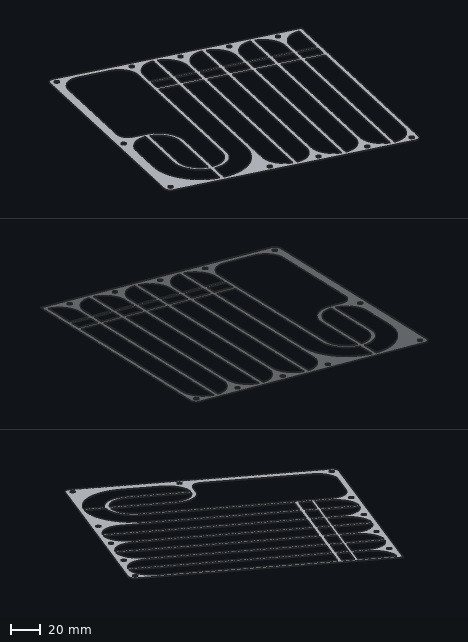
import cadquery as cq
import math

side = 188.0
thickness = 0.6
corner_radius = 4.7

side_border = 3.8
top_border = 3.5
rail_width = 3.4
seven_lane_height = 125.8
pitch = seven_lane_height / 7
inner_turn = pitch - rail_width / 2
rail_outer_turn = pitch + rail_width / 2
outer_turn = 2 * pitch - rail_width / 2

wide_lane = 6
ring_rail = 7
middle_rail = 8
loop_rail = 9
return_lane = 9

left_turn_x = side_border + inner_turn
right_turn_x = side - side_border - inner_turn
wide_turn_x = side - side_border - outer_turn
end_loop_x = 122.5

pocket_left = 4.7
pocket_bottom = 7.1
pocket_radius = 14.1
pocket_foot_radius = 7.9

ties = [(30.3, 2.5), (41.4, 3.0)]

hole_diameter = 3.5
hole_inset = 5.0
middle_hole_x = 109.6


def rail_y(number):
    """Height of the centreline of a rail."""
    return side - top_border + rail_width / 2 - number * pitch


def block(x_min, x_max, y_min, y_max):
    """Rectangle of plate thickness."""
    size_x = x_max - x_min
    size_y = y_max - y_min
    corner = cq.Workplane("XY", origin=(x_min, y_min, 0))
    return corner.box(size_x, size_y, thickness, centered=False)


def disc(x, y, radius):
    """Disc of plate thickness."""
    return cq.Workplane("XY").center(x, y).circle(radius).extrude(thickness)


def lane_band(number, x_min, x_max):
    """Straight strip between a rail and the next one below it."""
    y_min = rail_y(number + 1) + rail_width / 2
    y_max = rail_y(number) - rail_width / 2
    return block(x_min, x_max, y_min, y_max)


def left_rounded_lane(number, left, x_max):
    """Lane with a square right end and a quarter-round left end (turn centre x, rail it is centred on)."""
    x, rail = left
    left_end = disc(x, rail_y(rail), inner_turn).intersect(lane_band(number, 0, x))
    return lane_band(number, x, x_max).union(left_end)


def rounded_lane(number, left, right):
    """Lane with quarter-round ends, each given as (turn centre x, rail the turn is centred on)."""
    lane = left_rounded_lane(number, left, right[0])
    x, rail = right
    right_end = disc(x, rail_y(rail), inner_turn).intersect(lane_band(number, x, side))
    return lane.union(right_end)


def serpentine_lane(number):
    """Lane of the zigzag; the turns alternate between its upper and lower rail."""
    lower = number + 1
    if number % 2 == 0:
        return rounded_lane(number, (left_turn_x, number), (right_turn_x, lower))
    return rounded_lane(number, (left_turn_x, lower), (right_turn_x, number))


def wide_turn():
    """Last zigzag lane, the wide half-turn around the middle rail and the lane returning below it."""
    centre_y = rail_y(middle_rail)
    half_rail = rail_width / 2
    bend = disc(wide_turn_x, centre_y, outer_turn).cut(disc(wide_turn_x, centre_y, rail_outer_turn))
    bend = bend.intersect(block(wide_turn_x, side, 0, side))
    bend = bend.cut(block(wide_turn_x, side, centre_y - half_rail, centre_y + half_rail))
    entry = left_rounded_lane(wide_lane, (left_turn_x, wide_lane), wide_turn_x)
    way_back = left_rounded_lane(return_lane, (end_loop_x, loop_rail), wide_turn_x)
    return bend.union(entry).union(way_back)


def corner_pocket():
    """Large pocket bounded above by the ring rail and at the right by the bent rails."""
    top = rail_y(ring_rail) - rail_width / 2
    step = rail_y(middle_rail) + rail_width / 2
    right = end_loop_x - rail_outer_turn
    bend_end_x = wide_turn_x + math.sqrt(inner_turn**2 - (rail_width / 2) ** 2)
    bend_angle = (math.pi / 2 + math.asin(rail_width / 2 / inner_turn)) / 2
    bend_mid = (
        wide_turn_x + inner_turn * math.cos(bend_angle),
        rail_y(middle_rail) + inner_turn * math.sin(bend_angle),
    )
    return (
        cq.Workplane("XY")
        .moveTo(pocket_left + pocket_radius, top)
        .lineTo(wide_turn_x, top)
        .threePointArc(bend_mid, (bend_end_x, step))
        .lineTo(end_loop_x, step)
        .radiusArc((right, rail_y(loop_rail)), -rail_outer_turn)
        .lineTo(right, pocket_bottom + pocket_foot_radius)
        .radiusArc((right - pocket_foot_radius, pocket_bottom), pocket_foot_radius)
        .lineTo(pocket_left + pocket_radius, pocket_bottom)
        .radiusArc((pocket_left, pocket_bottom + pocket_radius), pocket_radius)
        .lineTo(pocket_left, top - pocket_radius)
        .radiusArc((pocket_left + pocket_radius, top), pocket_radius)
        .close()
        .extrude(thickness)
    )


def hole_centres():
    """Holes beside alternate rails on each side, in the rounded corners and by the pocket."""
    far = side - hole_inset
    left = [(hole_inset, rail_y(number)) for number in range(1, ring_rail + 1, 2)]
    right = [(far, rail_y(number)) for number in range(2, ring_rail, 2)]
    corners = [(hole_inset, hole_inset), (far, hole_inset), (far, far)]
    return left + right + corners + [(middle_hole_x, hole_inset)]


plate = block(0, side, 0, side)
plate = plate.edges("|Z and (>X or <Y)").fillet(corner_radius)

for lane_number in range(wide_lane):
    plate = plate.cut(serpentine_lane(lane_number))
plate = plate.cut(wide_turn())
plate = plate.cut(rounded_lane(middle_rail, (end_loop_x, loop_rail), (wide_turn_x, middle_rail)))
plate = plate.cut(corner_pocket())

for tie_left, tie_width in ties:
    plate = plate.union(block(tie_left, tie_left + tie_width, rail_y(ring_rail), rail_y(0)))

for hole_x, hole_y in hole_centres():
    plate = plate.cut(disc(hole_x, hole_y, hole_diameter / 2))

result = plate